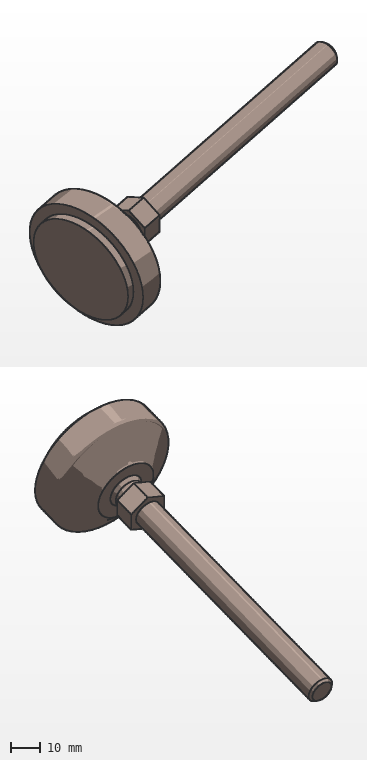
import cadquery as cq
import math

total_length = 134

pad_diameter = 41.5
pad_height = 3.0
rim_diameter = 50.0
rim_top = 11.8
shoulder_radius = 23.7
shoulder_y = 13.4
crown_radius = 12.3
crown_y = 21.5
crown_chamfer = 0.5
flank_sag = 0.4

neck_diameter = 11.0
flare_radius = 6.5
flare_top = 23.0

hex_across_flats = 14.1
hex_start = 26.0
hex_end = 34.0

rod_diameter = 10.0
rod_chamfer = 1.0


def cylinder(diameter, start, end):
    """Solid cylinder along Y between two positions."""
    plane = cq.Workplane("XZ", origin=(0, start, 0))
    return plane.circle(diameter / 2).extrude(start - end)


def make_foot():
    rim_radius = rim_diameter / 2
    flank_run = shoulder_radius - crown_radius
    flank_rise = crown_y - crown_chamfer - shoulder_y
    flank_length = math.hypot(flank_run, flank_rise)
    flank_middle = (
        (shoulder_radius + crown_radius) / 2 - flank_sag * flank_rise / flank_length,
        shoulder_y + flank_rise / 2 - flank_sag * flank_run / flank_length,
    )
    profile = (
        cq.Workplane("XY")
        .moveTo(0, 0)
        .lineTo(pad_diameter / 2, 0)
        .lineTo(pad_diameter / 2, pad_height)
        .lineTo(rim_radius, pad_height)
        .lineTo(rim_radius, rim_top)
        .tangentArcPoint((shoulder_radius, shoulder_y), relative=False)
        .threePointArc(flank_middle, (crown_radius, crown_y - crown_chamfer))
        .lineTo(crown_radius - crown_chamfer, crown_y)
        .lineTo(flare_radius, crown_y)
        .lineTo(neck_diameter / 2, flare_top)
        .lineTo(neck_diameter / 2, hex_start)
        .lineTo(0, hex_start)
        .close()
    )
    return profile.revolve(360, (0, 0, 0), (0, 1, 0))


def make_hexagon():
    corner_diameter = hex_across_flats / math.cos(math.pi / 6)
    plane = cq.Plane(origin=(0, hex_start, 0), xDir=(0, 0, 1), normal=(0, 1, 0))
    return cq.Workplane(plane).polygon(6, corner_diameter).extrude(hex_end - hex_start)


def make_rod():
    rod = cylinder(rod_diameter, hex_end, total_length)
    return rod.faces(">Y").chamfer(rod_chamfer)


result = make_foot().union(make_hexagon()).union(make_rod())